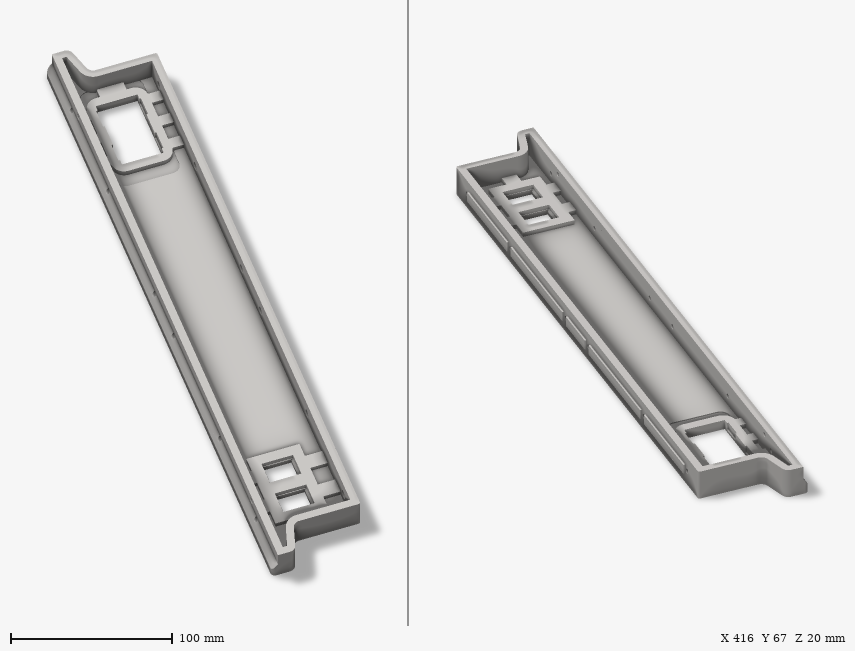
import cadquery as cq
LENGTH = 416.0
HEIGHT = 20.0
WALL = 5.0
FLOOR = 3.5
BODY_HALF_LENGTH = 187.3
BACK_Y = 32.25
FRONT_Y = -29.5
LIP_Y = -33.5

EAR_TIP_Y = -18.0
EAR_ROOT_Y = -11.85
EAR_RADIUS = 5.0
BACK_CORNER_RADIUS = 1.2

LIP_EDGE_Z = 5.5
LIP_TOP_Z = 11.0
LIP_CORNER_RADIUS = 3.0

SCREW_X = (17.5, 103.0, 170.0)
SCREW_Z = 10.0
FRONT_SCREW_DIAMETER = 3.4
BACK_SCREW_DIAMETER = 3.3
BACK_BORE_DIAMETER = 6.0
BACK_BORE_DEPTH = 2.5
UPPER_HOLE_X = 159.5
UPPER_HOLE_Z = 16.0
UPPER_HOLE_DIAMETER = 3.3
UPPER_BORE_DIAMETER = 4.5
UPPER_BORE_DEPTH = 2.5

PAD_THICKNESS = 1.2
PAD_HEIGHT = 6.5
PAD_GAP = 6.0

LEFT_X = -146.0
LEFT_Y = -0.5
POCKET_LENGTH = 78.0
POCKET_WIDTH = 41.5
POCKET_RADIUS = 6.2
POCKET_DEPTH = 1.0
FRAME_TOP = 6.5
FRAME_LENGTH = 60.5
FRAME_WIDTH = 40.0
FRAME_RADIUS = 8.5
LEFT_WINDOW_LENGTH = 48.3
LEFT_WINDOW_WIDTH = 27.5
NOTCH_LENGTH = 13.0
NOTCH_DEPTH = 1.05
NOTCH_OFFSET = 14.0
NOTCH_BASE = 1.5
LEFT_TAB_WIDTH = 7.5
LEFT_TAB_PITCH = 18.7
LEFT_END_TAB_WIDTH = 17.5

PLATE_X = 147.8
PLATE_Y = -1.5
PLATE_LENGTH = 53.5
PLATE_WIDTH = 35.0
PLATE_TOP = 6.5
PLATE_TAB_WIDTH = 10.0
PLATE_TAB_OFFSET = 11.85
WINDOW_Y = -1.2
WINDOW_PITCH = 24.5
WINDOW_LENGTH = 15.5
WINDOW_WIDTH = 21.0
FLOOR_WINDOW_LENGTH = 14.5
WINDOW_BEVEL = 1.2

INNER_BACK_Y = BACK_Y - WALL
INNER_FRONT_Y = FRONT_Y + WALL
INNER_HALF_LENGTH = BODY_HALF_LENGTH - WALL


def block(x_min, x_max, y_min, y_max, z_min, z_max):
    """Axis-aligned box between the given limits."""
    size = (x_max - x_min, y_max - y_min, z_max - z_min)
    return cq.Workplane("XY").box(*size, centered=False).translate((x_min, y_min, z_min))


def centered_block(x, y, length, width, z_min, z_max):
    """Box centred on (x, y), between two heights."""
    return block(x - length / 2, x + length / 2, y - width / 2, y + width / 2, z_min, z_max)


def bore_y(x, z, diameter, y_min, y_max):
    """Cylinder along Y, used to drill the front and back walls."""
    return cq.Workplane("XZ", origin=(x, y_max, z)).circle(diameter / 2).extrude(y_max - y_min)


def body_outline():
    """Plan outline of the tray walls, with a flared ear at each end of the front wall."""
    half = [
        (BODY_HALF_LENGTH, BACK_Y),
        (BODY_HALF_LENGTH, EAR_ROOT_Y),
        (LENGTH / 2, EAR_TIP_Y),
        (LENGTH / 2, FRONT_Y),
    ]
    mirrored = [(-x, y) for x, y in reversed(half)]
    return cq.Workplane("XY").polyline(half + mirrored).close()


def round_ears(body):
    """Round the vertical edges at the root and the tip of both ears."""
    margin = 0.05
    for ear_y in (EAR_ROOT_Y, EAR_TIP_Y):
        region = cq.selectors.BoxSelector(
            (-LENGTH, ear_y - margin, -HEIGHT), (LENGTH, ear_y + margin, 2 * HEIGHT)
        )
        body = body.edges("|Z").edges(region).fillet(EAR_RADIUS)
    return body


def front_lip():
    """Sloped lip along the foot of the front wall, with rounded ends."""
    profile = [
        (INNER_FRONT_Y, 0),
        (LIP_Y, 0),
        (LIP_Y, LIP_EDGE_Z),
        (FRONT_Y, LIP_TOP_Z),
        (INNER_FRONT_Y, LIP_TOP_Z),
    ]
    lip = cq.Workplane("YZ", origin=(-LENGTH / 2, 0, 0)).polyline(profile).close().extrude(LENGTH)
    plan = block(-LENGTH / 2, LENGTH / 2, LIP_Y, INNER_FRONT_Y, 0, HEIGHT)
    plan = plan.edges("|Z and <Y").fillet(LIP_CORNER_RADIUS)
    return lip.intersect(plan)


def tray_cavity():
    """Inside of the tray: the wall outline moved inwards by the wall thickness."""
    outline = round_ears(body_outline().extrude(HEIGHT)).faces("<Z").wires().val()
    inner = outline.offset2D(-WALL)[0]
    solid = cq.Solid.extrudeLinear(inner, [], cq.Vector(0, 0, HEIGHT))
    return cq.Workplane(solid).translate((0, 0, FLOOR))


def screw_stations():
    """X positions of all the screw holes, from left to right."""
    return sorted([-x for x in SCREW_X] + list(SCREW_X))


def back_pads():
    """Thin pads on the back wall, filling the spans between neighbouring screw holes."""
    stations = screw_stations()
    pads = cq.Workplane("XY")
    for start, end in zip(stations, stations[1:]):
        pads = pads.union(
            block(
                start + PAD_GAP / 2,
                end - PAD_GAP / 2,
                INNER_BACK_Y + WALL / 2,
                BACK_Y + PAD_THICKNESS,
                SCREW_Z - PAD_HEIGHT / 2,
                SCREW_Z + PAD_HEIGHT / 2,
            )
        )
    return pads


def cross_tab(x, width, z_min, z_max):
    """Strip running across the tray between the front and back walls."""
    return block(x - width / 2, x + width / 2, INNER_FRONT_Y, INNER_BACK_Y, z_min, z_max)


def left_pocket():
    """Shallow rounded pocket in the floor around the left frame."""
    pocket = centered_block(LEFT_X, LEFT_Y, POCKET_LENGTH, POCKET_WIDTH, FLOOR - POCKET_DEPTH, FLOOR)
    return pocket.edges("|Z").fillet(POCKET_RADIUS)


def left_frame():
    """Raised frame around the left window, tied to the walls by tabs."""
    base = FLOOR - POCKET_DEPTH
    frame = centered_block(LEFT_X, LEFT_Y, FRAME_LENGTH, FRAME_WIDTH, base, FRAME_TOP)
    frame = frame.edges("|Z").fillet(FRAME_RADIUS)
    for step in (-1, 0, 1):
        frame = frame.union(cross_tab(LEFT_X + step * LEFT_TAB_PITCH, LEFT_TAB_WIDTH, base, FRAME_TOP))
    half_tab = LEFT_END_TAB_WIDTH / 2
    end_tab = block(-INNER_HALF_LENGTH, LEFT_X, LEFT_Y - half_tab, LEFT_Y + half_tab, base, FRAME_TOP)
    return frame.union(end_tab)


def left_window():
    """Rectangular window with two shallow notches in each long side."""
    window = centered_block(LEFT_X, LEFT_Y, LEFT_WINDOW_LENGTH, LEFT_WINDOW_WIDTH, 0, HEIGHT)
    notched_width = LEFT_WINDOW_WIDTH + 2 * NOTCH_DEPTH
    for side in (-1, 1):
        notch_x = LEFT_X + side * NOTCH_OFFSET
        window = window.union(centered_block(notch_x, LEFT_Y, NOTCH_LENGTH, notched_width, NOTCH_BASE, HEIGHT))
    return window


def window_positions():
    """X centres of the two right windows."""
    return [PLATE_X + side * WINDOW_PITCH / 2 for side in (-1, 1)]


def floor_window(x):
    """Floor window whose long ends are bevelled towards the top."""
    half_top = WINDOW_WIDTH / 2
    half_bottom = half_top - WINDOW_BEVEL
    bevel_z = FLOOR - WINDOW_BEVEL
    profile = [
        (WINDOW_Y - half_bottom, 0),
        (WINDOW_Y - half_bottom, bevel_z),
        (WINDOW_Y - half_top, FLOOR),
        (WINDOW_Y + half_top, FLOOR),
        (WINDOW_Y + half_bottom, bevel_z),
        (WINDOW_Y + half_bottom, 0),
    ]
    start = x - FLOOR_WINDOW_LENGTH / 2
    return cq.Workplane("YZ", origin=(start, 0, 0)).polyline(profile).close().extrude(FLOOR_WINDOW_LENGTH)


def drill_screw_holes(tray):
    """Aligned screw holes in both long walls, counterbored on the inside of the back wall."""
    bore_end = INNER_BACK_Y + BACK_BORE_DEPTH
    for x in screw_stations():
        tray = tray.cut(bore_y(x, SCREW_Z, FRONT_SCREW_DIAMETER, LIP_Y, INNER_FRONT_Y))
        tray = tray.cut(bore_y(x, SCREW_Z, BACK_SCREW_DIAMETER, INNER_BACK_Y, BACK_Y))
        tray = tray.cut(bore_y(x, SCREW_Z, BACK_BORE_DIAMETER, INNER_BACK_Y, bore_end))
    return tray


def drill_upper_holes(tray):
    """Two counterbored holes near the top of the front wall."""
    bore_end = FRONT_Y + UPPER_BORE_DEPTH
    for x in (-UPPER_HOLE_X, UPPER_HOLE_X):
        tray = tray.cut(bore_y(x, UPPER_HOLE_Z, UPPER_HOLE_DIAMETER, FRONT_Y, INNER_FRONT_Y))
        tray = tray.cut(bore_y(x, UPPER_HOLE_Z, UPPER_BORE_DIAMETER, FRONT_Y, bore_end))
    return tray


def make_tray():
    """Tray with ears, front lip, back pads, left frame, windows and screw holes."""
    tray = round_ears(body_outline().extrude(HEIGHT))
    tray = tray.edges("|Z and >Y").fillet(BACK_CORNER_RADIUS).union(front_lip())
    tray = tray.cut(tray_cavity()).union(back_pads())
    tray = tray.cut(left_pocket()).union(left_frame()).cut(left_window())
    for x in window_positions():
        tray = tray.cut(floor_window(x))
    return drill_upper_holes(drill_screw_holes(tray))


def make_plate():
    """Tabbed plate resting on the floor, with an opening over each floor window."""
    plate = centered_block(PLATE_X, PLATE_Y, PLATE_LENGTH, PLATE_WIDTH, FLOOR, PLATE_TOP)
    for side in (-1, 1):
        plate = plate.union(cross_tab(PLATE_X + side * PLATE_TAB_OFFSET, PLATE_TAB_WIDTH, FLOOR, PLATE_TOP))
    half_tab = PLATE_TAB_WIDTH / 2
    end_tab = block(PLATE_X, INNER_HALF_LENGTH, PLATE_Y - half_tab, PLATE_Y + half_tab, FLOOR, PLATE_TOP)
    plate = plate.union(end_tab)
    for x in window_positions():
        plate = plate.cut(centered_block(x, WINDOW_Y, WINDOW_LENGTH, WINDOW_WIDTH, FLOOR, PLATE_TOP))
    return plate


tray = make_tray()
plate = make_plate()
result = cq.Compound.makeCompound([tray.val(), plate.val()])